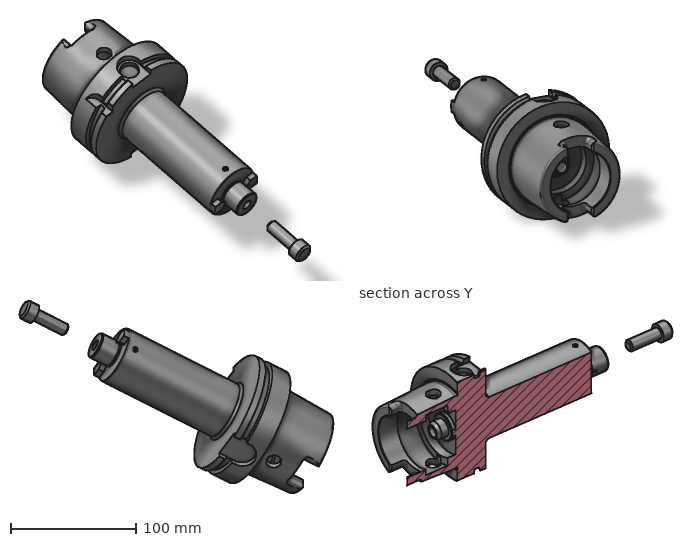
import cadquery as cq
import math


shank_length = 50.0
taper_small_diameter = 70.7
taper_large_diameter = 75.5
shank_end_round = 1.5
neck_width = 2.5
neck_depth = 0.3
neck_chamfer = 1.0
bore_diameter = 53.0
bore_end_chamfer = 0.5
bore_mouth_length = 19.0
bore_undercut_diameter = 63.0
bore_undercut_length = 21.5
bore_floor_diameter = 49.1
bore_floor_x = -1.4
cross_hole_diameter = 12.2
cross_hole_x = -14.8

drive_slot_width = 20.5
drive_slot_depths = {1: 10.0, -1: 14.8}
drive_slot_corner_radius = 2.7
drive_slot_edge_round = 3.8
drive_slot_mouth_chamfer = 1.4

tube_diameter = 16.0
tube_tip_diameter = 12.0
tube_bore_diameter = 9.2
tube_tip_length = 3.2
tube_end_x = -15.7
tube_collar_diameter = 24.0
tube_collar_length = 4.0
tube_collar_chamfer = 0.8

flange_diameter = 100.0
flange_width = 29.2
face_recess_diameter = 78.8
face_recess_depth = 0.8
groove_diameter = 92.5
groove_start_x = 17.3
groove_floor_start_x = 17.8
groove_floor_end_x = 22.1
groove_end_x = 23.5
key_slot_width = 20.0
bottom_key_slot_width = 22.7
key_slot_center_x = 14.8
key_slot_floor = 44.0
chip_hole_diameter = 15.5
chip_hole_depth = 4.5
notch_offset = 31.5

arbor_diameter = 47.0
arbor_root_diameter = 50.8
arbor_root_length = 2.5
shoulder_x = 135.0
shoulder_chamfer_length = 1.0
shoulder_chamfer_depth = 0.3
pilot_diameter = 22.0
pilot_relief_diameter = 21.5
pilot_relief_width = 1.5
pilot_end_x = 152.8
pilot_end_chamfer_length = 1.0
pilot_end_chamfer_depth = 0.5
drive_key_width = 10.0
drive_key_height = 4.9
drive_key_inner_reach = 11.3
drive_key_chamfer = 4.3
coolant_hole_diameter = 4.0
coolant_hole_depth = 1.0
coolant_core_diameter = 2.5
coolant_core_depth = 3.2
coolant_hole_x = 127.5
coolant_hole_angles = (90, 210, 330)
thread_hole_diameter = 8.6

screw_diameter = 10.0
screw_tip_diameter = 7.3
screw_head_diameter = 16.0
screw_head_chamfer = 1.5
screw_head_length = 10.0
screw_length = 40.0
screw_tip_x = 180.0


def revolve_about_x(points):
    """Turn a closed outline of (x, radius) points about the X axis."""
    return cq.Workplane("XY").polyline(points).close().revolve(360, (0, 0, 0), (1, 0, 0))


def cylinder_x(diameter, start_x, end_x):
    return cq.Workplane("YZ").workplane(offset=start_x).circle(diameter / 2).extrude(end_x - start_x)


def taper_radius(x):
    slope = (taper_large_diameter - taper_small_diameter) / 2 / shank_length
    return taper_large_diameter / 2 + slope * x


def turned_outside():
    end_x = -shank_length
    flange_radius = flange_diameter / 2
    neck_radius = taper_radius(-neck_width) - neck_depth
    turned = revolve_about_x([
        (end_x, 0),
        (end_x, taper_radius(end_x)),
        (-neck_width, taper_radius(-neck_width)),
        (-neck_width + neck_chamfer, neck_radius),
        (face_recess_depth, neck_radius),
        (face_recess_depth, face_recess_diameter / 2 - face_recess_depth),
        (0, face_recess_diameter / 2),
        (0, flange_radius),
        (groove_start_x, flange_radius),
        (groove_floor_start_x, groove_diameter / 2),
        (groove_floor_end_x, groove_diameter / 2),
        (groove_end_x, flange_radius),
        (flange_width, flange_radius),
        (flange_width, arbor_root_diameter / 2),
        (flange_width + arbor_root_length, arbor_diameter / 2),
        (shoulder_x - shoulder_chamfer_length, arbor_diameter / 2),
        (shoulder_x, arbor_diameter / 2 - shoulder_chamfer_depth),
        (shoulder_x, pilot_relief_diameter / 2),
        (shoulder_x + pilot_relief_width, pilot_relief_diameter / 2),
        (shoulder_x + pilot_relief_width, pilot_diameter / 2),
        (pilot_end_x - pilot_end_chamfer_length, pilot_diameter / 2),
        (pilot_end_x, pilot_diameter / 2 - pilot_end_chamfer_depth),
        (pilot_end_x, 0),
    ])
    return turned.faces("<X").edges().fillet(shank_end_round)


def shank_bore():
    """The stepped bore of the shank, leaving the coolant tube standing on its floor."""
    end_x = -shank_length
    undercut_start_x = end_x + bore_mouth_length
    undercut_end_x = undercut_start_x + bore_undercut_length
    tube_shoulder_x = tube_end_x + tube_tip_length
    collar_x = bore_floor_x - tube_collar_length
    return revolve_about_x([
        (end_x, 0),
        (end_x, bore_diameter / 2 + bore_end_chamfer),
        (end_x + bore_end_chamfer, bore_diameter / 2),
        (undercut_start_x, bore_diameter / 2),
        (undercut_start_x, bore_undercut_diameter / 2),
        (undercut_end_x, bore_undercut_diameter / 2),
        (undercut_end_x, bore_floor_diameter / 2),
        (bore_floor_x, bore_floor_diameter / 2),
        (bore_floor_x, tube_collar_diameter / 2),
        (collar_x + tube_collar_chamfer, tube_collar_diameter / 2),
        (collar_x, tube_collar_diameter / 2 - tube_collar_chamfer),
        (collar_x, tube_diameter / 2),
        (tube_shoulder_x, tube_diameter / 2),
        (tube_end_x, tube_tip_diameter / 2),
        (tube_end_x, 0),
    ])


def drive_slot(side):
    """A slot through the shank wall whose long outer edges are rounded into the taper."""
    depth = drive_slot_depths[side]
    floor_x = depth - shank_length
    half_width = drive_slot_width / 2
    outer_radius = taper_radius(floor_x - depth / 2)
    round_y = half_width + drive_slot_edge_round
    round_z = math.sqrt((outer_radius - drive_slot_edge_round) ** 2 - round_y ** 2)
    round_end_angle = math.atan2(round_y, round_z)
    round_mid_angle = (round_end_angle - math.pi / 2) / 2

    def on_round(angle):
        return (
            round_y + drive_slot_edge_round * math.sin(angle),
            round_z + drive_slot_edge_round * math.cos(angle),
        )

    end_y, end_z = on_round(round_end_angle)
    mid_y, mid_z = on_round(round_mid_angle)
    top_z = taper_large_diameter / 2 + drive_slot_edge_round
    slot = (
        cq.Workplane("YZ").workplane(offset=-shank_length)
        .moveTo(-half_width, 0)
        .lineTo(half_width, 0)
        .lineTo(half_width, round_z)
        .threePointArc((mid_y, mid_z), (end_y, end_z))
        .lineTo(end_y, top_z)
        .lineTo(-end_y, top_z)
        .lineTo(-end_y, end_z)
        .threePointArc((-mid_y, mid_z), (-half_width, round_z))
        .close()
        .extrude(depth)
    )
    margin = 0.3
    wall_edges = cq.selectors.BoxSelector(
        (floor_x - margin, -end_y, margin), (floor_x + margin, end_y, end_z)
    )
    slot = slot.edges(wall_edges).fillet(drive_slot_corner_radius)
    mouth_half_width = half_width + drive_slot_mouth_chamfer
    mouth = (
        cq.Workplane("XY")
        .polyline([
            (-shank_length, -mouth_half_width),
            (-shank_length, mouth_half_width),
            (-shank_length + drive_slot_mouth_chamfer, half_width),
            (-shank_length + drive_slot_mouth_chamfer, -half_width),
        ])
        .close()
        .extrude(top_z)
    )
    slot = slot.union(mouth)
    return slot if side > 0 else slot.mirror("XY")


def key_slot(width, center_y, floor_z):
    """A slot with a round end that runs out through the arbor side of the flange."""
    height = flange_diameter / 2 - floor_z
    run_out = flange_width - key_slot_center_x
    round_end = cq.Workplane("XY").circle(width / 2).extrude(height)
    straight = cq.Workplane("XY").rect(run_out, width).extrude(height).translate((run_out / 2, 0, 0))
    return round_end.union(straight).translate((key_slot_center_x, center_y, floor_z))


def flange_slots():
    top_slot = key_slot(key_slot_width, 0, key_slot_floor)
    chip_hole = (
        cq.Workplane("XY").workplane(offset=key_slot_floor - chip_hole_depth)
        .center(key_slot_center_x, 0).circle(chip_hole_diameter / 2).extrude(chip_hole_depth)
    )
    bottom_slot = key_slot(bottom_key_slot_width, 0, key_slot_floor).mirror("XY")
    notch = key_slot(key_slot_width, -notch_offset - key_slot_width / 2, notch_offset)
    return [top_slot, chip_hole, bottom_slot, notch]


def cross_hole():
    return (
        cq.Workplane("XY").center(cross_hole_x, 0)
        .circle(cross_hole_diameter / 2).extrude(taper_large_diameter / 2, both=True)
    )


def drive_keys():
    """Two keys on the shoulder, chamfered towards the pilot and ending at the shoulder rim."""
    half_width = drive_key_width / 2
    chamfer_end = drive_key_inner_reach + drive_key_chamfer
    tip_half_width = half_width - drive_key_chamfer
    outer_reach = arbor_diameter / 2
    shoulder_rim = cylinder_x(
        arbor_diameter - 2 * shoulder_chamfer_depth, shoulder_x, shoulder_x + drive_key_height
    )
    key = (
        cq.Workplane("YZ").workplane(offset=shoulder_x)
        .polyline([
            (drive_key_inner_reach, -tip_half_width),
            (chamfer_end, -half_width),
            (outer_reach, -half_width),
            (outer_reach, half_width),
            (chamfer_end, half_width),
            (drive_key_inner_reach, tip_half_width),
        ])
        .close()
        .extrude(drive_key_height)
        .intersect(shoulder_rim)
    )
    return [key, key.mirror("XZ")]


def coolant_hole(angle):
    """A blind radial hole into the arbor, narrower in its lower part."""
    mouth = arbor_diameter / 2
    entry = (
        cq.Workplane("XZ").workplane(offset=-mouth)
        .circle(coolant_hole_diameter / 2).extrude(coolant_hole_depth)
    )
    core = (
        cq.Workplane("XZ").workplane(offset=-mouth)
        .circle(coolant_core_diameter / 2).extrude(coolant_core_depth)
    )
    hole = entry.union(core)
    return hole.rotate((0, 0, 0), (1, 0, 0), angle).translate((coolant_hole_x, 0, 0))


def make_holder():
    holder = turned_outside().cut(shank_bore())
    holder = holder.cut(cylinder_x(tube_bore_diameter, tube_end_x, shoulder_x))
    holder = holder.cut(cylinder_x(thread_hole_diameter, shoulder_x, pilot_end_x))
    for side in drive_slot_depths:
        holder = holder.cut(drive_slot(side))
    holder = holder.cut(cross_hole().cut(cylinder_x(bore_diameter, -shank_length, 0)))
    for slot in flange_slots():
        holder = holder.cut(slot)
    for angle in coolant_hole_angles:
        holder = holder.cut(coolant_hole(angle))
    for key in drive_keys():
        holder = holder.union(key)
    return holder


def make_screw():
    end_x = screw_tip_x + screw_length
    head_x = end_x - screw_head_length
    tip_chamfer = (screw_diameter - screw_tip_diameter) / 2
    return revolve_about_x([
        (screw_tip_x, 0),
        (screw_tip_x, screw_tip_diameter / 2),
        (screw_tip_x + tip_chamfer, screw_diameter / 2),
        (head_x, screw_diameter / 2),
        (head_x, screw_head_diameter / 2),
        (end_x - screw_head_chamfer, screw_head_diameter / 2),
        (end_x, screw_head_diameter / 2 - screw_head_chamfer),
        (end_x, 0),
    ])


holder = make_holder()
screw = make_screw()
result = cq.Compound.makeCompound([holder.val(), screw.val()])